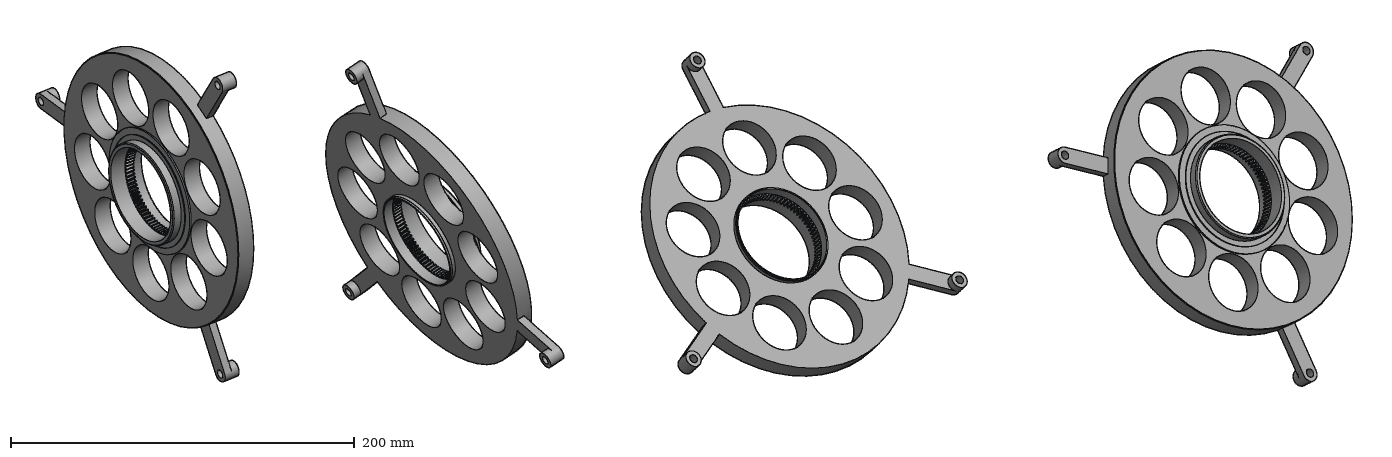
import cadquery as cq
import math


overall_height = 209.9

disc_dia = 170.0
disc_thickness = 11.3
disc_chamfer = 0.5
opening_dia = 35.0
opening_circle_radius = 57.5
opening_count = 9

outer_step_dia = 78.5
outer_step_height = 1.0
inner_step_dia = 70.0
inner_step_height = 1.7
hub_dia = 63.5
hub_height = 7.3
hub_chamfer = 0.6
collar_dia = 60.0
collar_height = 2.3
lip_dia = 59.8
lip_height = 1.3
bore_dia = 58.1

tooth_count = 75
tooth_height = 1.7
tooth_root_width = 1.9
tooth_tip_width = 0.6
tooth_start = 3.0
tooth_length = 5.5
tooth_embed = 0.2

arm_count = 3
arm_first_angle = 60
arm_side_offset = 1.5
arm_thickness = 5.0
arm_embed = 2.0
boss_dia = 10.0
boss_height = 10.0
boss_hole_dia = 5.0

bore_radius = bore_dia / 2
arm_reach = (overall_height - boss_dia) / (2 * math.sin(math.radians(arm_first_angle)))
arm_start = disc_dia / 2 - arm_embed
arm_front = disc_thickness - arm_thickness


def on_plane_y(y):
    """Workplane with local x = X and local y = Z; positive extrusion runs toward -Y."""
    return cq.Workplane("XZ", origin=(0, y, 0))


def cylinder(dia, y_from, y_to):
    return on_plane_y(y_from).circle(dia / 2).extrude(y_from - y_to)


def make_disc():
    disc = cylinder(disc_dia, 0, disc_thickness).faces("<Y").chamfer(disc_chamfer)
    openings = (
        on_plane_y(0)
        .polarArray(opening_circle_radius, -90, 360, opening_count)
        .circle(opening_dia / 2)
        .extrude(-disc_thickness)
    )
    return disc.cut(openings)


def make_hub():
    hub = cylinder(hub_dia, -hub_height, disc_thickness).faces("<Y").chamfer(hub_chamfer)
    hub = hub.union(cylinder(outer_step_dia, -outer_step_height, 0))
    hub = hub.union(cylinder(inner_step_dia, -inner_step_height, 0))
    collar_end = disc_thickness + collar_height
    hub = hub.union(cylinder(collar_dia, 0, collar_end))
    return hub.union(cylinder(lip_dia, 0, collar_end + lip_height))


def make_arm(angle):
    arm = (
        on_plane_y(arm_front)
        .center((arm_start + arm_reach) / 2, arm_side_offset)
        .rect(arm_reach - arm_start, boss_dia)
        .extrude(-arm_thickness)
    )
    boss_plane = on_plane_y(arm_front).center(arm_reach, arm_side_offset)
    boss = boss_plane.circle(boss_dia / 2).extrude(-boss_height)
    hole = boss_plane.circle(boss_hole_dia / 2).extrude(-boss_height)
    arm = arm.union(boss).cut(hole)
    return arm.rotate((0, 0, 0), (0, -1, 0), angle)


def make_teeth():
    root = bore_radius + tooth_embed
    tip = bore_radius - tooth_height
    outline = [
        (root, -tooth_root_width / 2),
        (tip, -tooth_tip_width / 2),
        (tip, tooth_tip_width / 2),
        (root, tooth_root_width / 2),
    ]
    tooth = on_plane_y(tooth_start).polyline(outline).close().extrude(-tooth_length)
    teeth = cq.Workplane()
    for i in range(tooth_count):
        teeth = teeth.add(tooth.rotate((0, 0, 0), (0, -1, 0), i * 360 / tooth_count))
    return teeth


body = make_disc().union(make_hub())
for i in range(arm_count):
    body = body.union(make_arm(arm_first_angle + i * 360 / arm_count))

bore_end = disc_thickness + collar_height + lip_height
body = body.cut(cylinder(bore_dia, -hub_height, bore_end))

result = cq.Workplane(body.val().fuse(*make_teeth().vals()))